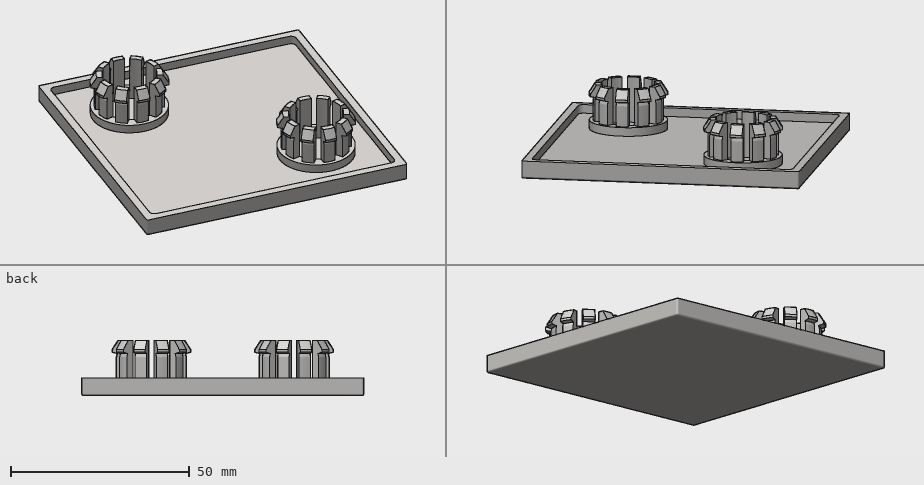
import cadquery as cq

side = 79.0
tray_height = 5.0
wall = 2.4
floor_thickness = 2.5
pocket_corner_radius = 1.5
outer_edge_radius = 0.5

total_height = 15.5
crown_offset = 20.0
crown_centers = [(-crown_offset, -crown_offset), (crown_offset, crown_offset)]
base_radius = 22.0 / 2
base_height = tray_height - floor_thickness
bore_radius = 15.5 / 2

tooth_count = 10
tooth_width = 3.4
shank_radius = 9.9
neck_radius = 9.6
lip_radius = 11.05
tip_radius = 9.4
neck_start = 10.8
lip_start = 11.8
lip_land_start = 12.2
lip_land_end = 12.9


def make_tray():
    """Square tray with a raised rim and rounded outer edges."""
    body = (
        cq.Workplane("XY")
        .box(side, side, tray_height, centered=(True, True, False))
        .edges("|Z or <Z")
        .fillet(outer_edge_radius)
    )
    pocket_side = side - 2 * wall
    pocket = (
        cq.Workplane("XY")
        .workplane(offset=floor_thickness)
        .rect(pocket_side, pocket_side)
        .extrude(tray_height)
        .edges("|Z")
        .fillet(pocket_corner_radius)
    )
    return body.cut(pocket)


def make_base_ring():
    """Ring that carries the teeth, standing on the tray floor."""
    return (
        cq.Workplane("XY")
        .workplane(offset=floor_thickness)
        .circle(base_radius)
        .circle(bore_radius)
        .extrude(base_height)
    )


def make_teeth():
    """Barbed ring cut down to parallel-sided radial teeth."""
    profile = [
        (bore_radius, floor_thickness),
        (shank_radius, floor_thickness),
        (shank_radius, neck_start),
        (neck_radius, lip_start),
        (lip_radius, lip_land_start),
        (lip_radius, lip_land_end),
        (tip_radius, total_height),
        (bore_radius, total_height),
    ]
    barbed_ring = cq.Workplane("XZ").polyline(profile).close().revolve(360, (0, 0), (0, 1))
    bar_length = 2 * lip_radius
    bars = cq.Workplane("XY")
    for index in range(tooth_count):
        bar = (
            cq.Workplane("XY")
            .box(bar_length, tooth_width, total_height, centered=(False, True, False))
            .rotate((0, 0, 0), (0, 0, 1), index * 360 / tooth_count)
        )
        bars = bars.add(bar)
    return barbed_ring.intersect(bars.combine())


crown = make_base_ring().union(make_teeth())
result = make_tray()
for x, y in crown_centers:
    result = result.union(crown.translate((x, y, 0)))